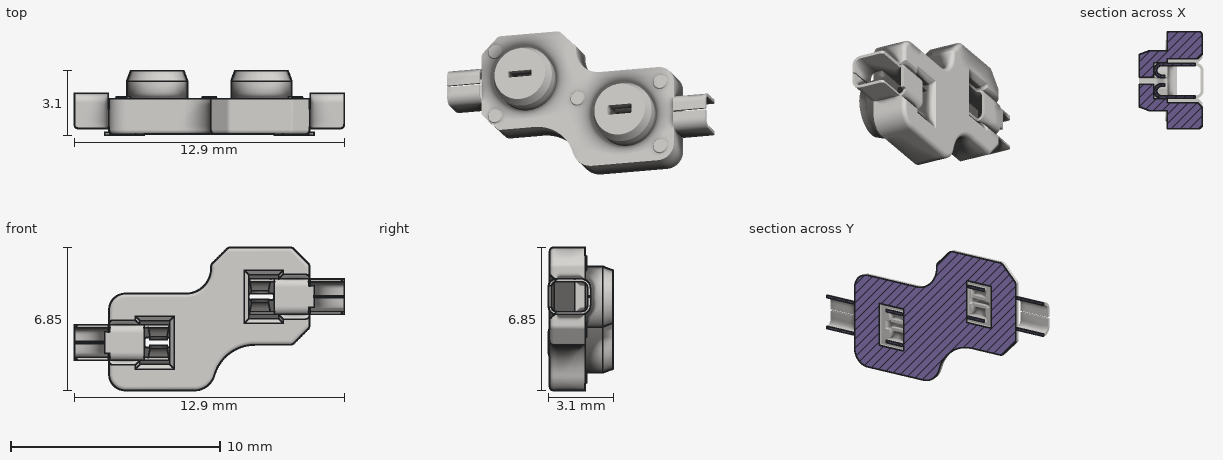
import cadquery as cq
import math


left_center_z = -1.12
right_center_z = 1.07
housing_half_length = 4.8
housing_depth = 1.7
housing_top = 3.43
housing_bottom = -3.42
left_block_top = 1.23
right_block_bottom = -1.24
right_block_left = 0.08
corner_chamfer = 0.84
chamfer_edge_radius = 0.26
left_corner_radius = 0.8
upper_neck_radius = 1.19
lower_corner_radius = 1.0
lower_neck_radius = 2.0
lower_corner_x = -0.72
front_edge_radius = 0.2

plug_x = 2.49
plug_diameter = 2.9
plug_tip_diameter = 2.53
plug_cone_start = 2.54
plug_tip = 3.05
slot_length = 1.19
left_slot_width = 0.46
right_slot_width = 0.3
slot_corner_radius = 0.06
pad_base_radius = 0.36
pad_top_radius = 0.32
pad_height = 0.08
pad_x = 4.12
pad_spread = 1.6

cavity_floor = 1.21
lead_in = 0.22
pocket_floor = 1.68
pocket_inner_end = plug_x - slot_length / 2
pocket_outer_end = 3.32
pocket_half_width = 1.05

sheet = 0.14
contact_half_width = 0.85
inner_half_width = contact_half_width - sheet
full_width = (-contact_half_width, contact_half_width)
inner_width = (-inner_half_width, inner_half_width)
contact_end = 6.45
contact_inner_end = pocket_inner_end
tail_start = 4.82
tail_front = 0.27
tail_back = 1.96
tail_bend_radius = 0.44
edge_bevel = 0.04
seam_width = 0.08
tab_front = -0.05
tab_bend_radius = 0.39
wall_front = tab_front + tab_bend_radius
tab_inner_end = 3.11
tab_tongue_start = 4.75
tab_tongue_end = 5.0
tab_tongue_half_width = 0.52
wall_corner_radius = 0.19
spring_x = 2.43
spring_back = 2.32
spring_tip = 1.8
spring_base_length = 1.03
spring_tip_length = 0.85
spring_taper_end = 0.39
spring_gap = 0.27


def block(x_range, y_range, z_range):
    """Box between three pairs of limits."""
    (x0, x1), (y0, y1), (z0, z1) = x_range, y_range, z_range
    return cq.Workplane("XY").box(x1 - x0, y1 - y0, z1 - z0, centered=False).translate((x0, y0, z0))


def on_side(body, side):
    """Move a body from the centre line to the right (+1) or left (-1) block."""
    if side > 0:
        return body.translate((0, 0, right_center_z))
    return body.rotate((0, 0, 0), (0, 1, 0), 180).translate((0, 0, left_center_z))


def front_plane(y):
    """XZ workplane at depth y; it extrudes toward +Y with negative lengths."""
    return cq.Workplane("XZ", origin=(0, y, 0))


def make_shell():
    radius_sum = lower_corner_radius + lower_neck_radius
    corner_center_z = housing_bottom + lower_corner_radius
    neck_center_z = right_block_bottom - lower_neck_radius
    drop = corner_center_z - neck_center_z
    run = math.sqrt(radius_sum**2 - drop**2)
    neck_center_x = lower_corner_x + run
    share = lower_corner_radius / radius_sum
    joint = (lower_corner_x + run * share, corner_center_z - drop * share)

    joint_angle = math.atan2(-drop, run)
    corner_mid_angle = (joint_angle - math.pi / 2) / 2
    corner_mid = (
        lower_corner_x + lower_corner_radius * math.cos(corner_mid_angle),
        corner_center_z + lower_corner_radius * math.sin(corner_mid_angle),
    )
    neck_mid_angle = (joint_angle + math.pi + math.pi / 2) / 2
    neck_mid = (
        neck_center_x + lower_neck_radius * math.cos(neck_mid_angle),
        neck_center_z + lower_neck_radius * math.sin(neck_mid_angle),
    )

    upper_neck_x = right_block_left - upper_neck_radius
    upper_neck_z = left_block_top + upper_neck_radius
    diagonal = upper_neck_radius * math.sqrt(0.5)
    right = housing_half_length
    cut_corners = [
        (right, right_block_bottom + corner_chamfer),
        (right, housing_top - corner_chamfer),
        (right - corner_chamfer, housing_top),
        (right_block_left + corner_chamfer, housing_top),
        (right_block_left, housing_top - corner_chamfer),
    ]
    first_cut_corner = (right - corner_chamfer, right_block_bottom)
    left_corners = [(-right, left_block_top), (-right, housing_bottom)]

    outline = front_plane(0).moveTo(*left_corners[1]).lineTo(lower_corner_x, housing_bottom)
    outline = outline.threePointArc(corner_mid, joint)
    outline = outline.threePointArc(neck_mid, (neck_center_x, right_block_bottom))
    outline = outline.lineTo(*first_cut_corner)
    for corner in cut_corners:
        outline = outline.lineTo(*corner)
    outline = outline.lineTo(right_block_left, upper_neck_z)
    outline = outline.threePointArc(
        (upper_neck_x + diagonal, upper_neck_z - diagonal), (upper_neck_x, left_block_top)
    )
    shell = outline.lineTo(*left_corners[0]).close().extrude(-housing_depth)

    rounded = [(corner, chamfer_edge_radius) for corner in [first_cut_corner] + cut_corners]
    rounded += [(corner, left_corner_radius) for corner in left_corners]
    for (x, z), radius in rounded:
        nearest = cq.NearestToPointSelector((x, housing_depth / 2, z))
        shell = shell.edges("|Y").edges(nearest).fillet(radius)
    return shell.faces("<Y").edges().fillet(front_edge_radius)


def make_plug():
    profile = [
        (0, cavity_floor),
        (plug_diameter / 2, cavity_floor),
        (plug_diameter / 2, plug_cone_start),
        (plug_tip_diameter / 2, plug_tip),
        (0, plug_tip),
    ]
    plug = cq.Workplane("XY").polyline(profile).close().revolve(360, (0, 0, 0), (0, 1, 0))
    return plug.translate((plug_x, 0, 0))


def make_pad(x, z):
    pad = front_plane(housing_depth).circle(pad_base_radius)
    pad = pad.workplane(offset=-pad_height).circle(pad_top_radius).loft()
    return pad.translate((x, 0, z))


def make_leaf_plan():
    """Outline shared by the spring leaves and their recess: narrower toward the centre line."""
    right_side = [
        (spring_x + spring_base_length / 2, -contact_half_width),
        (spring_x + spring_tip_length / 2, -spring_taper_end),
        (spring_x + spring_tip_length / 2, spring_taper_end),
        (spring_x + spring_base_length / 2, contact_half_width),
    ]
    left_side = [(2 * spring_x - x, z) for x, z in reversed(right_side)]
    return front_plane(wall_front).polyline(right_side + left_side).close().extrude(wall_front - spring_back)


def make_mouth(inner_end, outer_end, half_width):
    """Rectangular opening that narrows at 45 degrees to the given limits."""
    length = outer_end - inner_end + 2 * lead_in
    mouth = front_plane(0).rect(length, 2 * (half_width + lead_in)).extrude(-lead_in, taper=45)
    return mouth.translate(((inner_end + outer_end) / 2, 0, 0))


def make_cavity():
    """Contact channel and deeper, wider pocket with bevelled mouths, and the recess for the leaves."""
    pocket_mouth = make_mouth(pocket_inner_end, pocket_outer_end, pocket_half_width)
    channel_mouth = make_mouth(pocket_inner_end, contact_end, contact_half_width)
    pocket_length = (pocket_inner_end, pocket_outer_end)
    pocket = block(pocket_length, (0, pocket_floor), (-pocket_half_width, pocket_half_width))
    channel = block((pocket_inner_end, contact_end), (0, cavity_floor), full_width)
    cavity = pocket.union(channel).union(make_leaf_plan())
    return cavity.union(pocket_mouth).union(channel_mouth)


def make_slot(width):
    length_range = (plug_x - slot_length / 2, plug_x + slot_length / 2)
    slot = block(length_range, (pocket_floor, plug_tip), (-width / 2, width / 2))
    return slot.edges("|Y").fillet(slot_corner_radius)


def make_housing():
    housing = make_shell()
    for side, slot_width in ((-1, left_slot_width), (1, right_slot_width)):
        housing = housing.union(on_side(make_plug(), side))
        for offset in (-pad_spread, pad_spread):
            housing = housing.union(on_side(make_pad(pad_x, offset), side))
        housing = housing.cut(on_side(make_cavity(), side))
        housing = housing.cut(on_side(make_slot(slot_width), side))
    return housing.union(make_pad(0, 0))


def make_tail():
    """Open channel outside the housing, with flanges that nearly meet behind it."""
    length = (tail_start, contact_end)
    tail = block(length, (tail_front, tail_back), full_width)
    tail = tail.edges("|X and >Y").fillet(tail_bend_radius)
    tail = tail.edges("|Z and <Y and >X").fillet(wall_corner_radius)
    inside = block(length, (tail_front, tail_back - sheet), inner_width)
    inside = inside.edges("|X and >Y").fillet(tail_bend_radius - sheet)
    seam = block(length, (tail_front, tail_back), (-seam_width / 2, seam_width / 2))
    bevel_section = [
        (tail_front, -contact_half_width),
        (tail_front + edge_bevel, -inner_half_width),
        (tail_front + edge_bevel, inner_half_width),
        (tail_front, contact_half_width),
    ]
    bevel = cq.Workplane("YZ", origin=(tail_start, 0, 0)).polyline(bevel_section).close()
    bevel = bevel.extrude(contact_end - tail_start)
    return tail.cut(inside).cut(seam).cut(bevel)


def make_tab():
    """Front wall bent from the side walls, with a narrower tongue past the housing."""
    length = (tab_inner_end, tab_tongue_end)
    tab = block(length, (tab_front, cavity_floor), full_width)
    tab = tab.edges("|X and <Y").fillet(tab_bend_radius)
    inside = block(length, (tab_front + sheet, cavity_floor), inner_width)
    inside = inside.edges("|X and <Y").fillet(tab_bend_radius - sheet)
    tab = tab.cut(inside)
    for sign in (-1, 1):
        width = sorted((sign * tab_tongue_half_width, sign * contact_half_width))
        tab = tab.cut(block((tab_tongue_start, tab_tongue_end), (tab_front, wall_front), width))
    return tab


def make_inner_walls():
    """Side walls that continue past the tab, inside the pocket."""
    depth = (wall_front, cavity_floor)
    walls = block((contact_inner_end, tab_inner_end), depth, full_width)
    walls = walls.edges("|Z and <Y and <X").fillet(wall_corner_radius)
    return walls.cut(block((contact_inner_end, tab_inner_end), depth, inner_width))


def make_leaf(sign):
    """Leaf bent from one side wall; its hook is a half circle ending in a straight tip."""
    outer = spring_gap / 2
    hook_radius = (contact_half_width - outer) / 2
    hook_start = spring_back - hook_radius
    leaf = (
        cq.Workplane("YZ")
        .moveTo(wall_front, contact_half_width)
        .lineTo(hook_start, contact_half_width)
        .threePointArc((spring_back, contact_half_width - hook_radius), (hook_start, outer))
        .lineTo(spring_tip, outer)
        .lineTo(spring_tip, outer + sheet)
        .lineTo(hook_start, outer + sheet)
        .threePointArc(
            (spring_back - sheet, contact_half_width - hook_radius), (hook_start, inner_half_width)
        )
        .lineTo(wall_front, inner_half_width)
        .close()
        .extrude(contact_end)
        .intersect(make_leaf_plan())
    )
    return leaf if sign > 0 else leaf.mirror("XY")


def make_springs():
    """Pair of leaves that run back into the plug and hook around to face forward."""
    return make_leaf(1).union(make_leaf(-1))


def make_contact(side):
    contact = make_tail().union(make_tab()).union(make_inner_walls()).union(make_springs())
    return on_side(contact, side)


housing = make_housing()
contacts = [make_contact(side) for side in (-1, 1)]

result = cq.Compound.makeCompound([housing.val(), *[contact.val() for contact in contacts]])